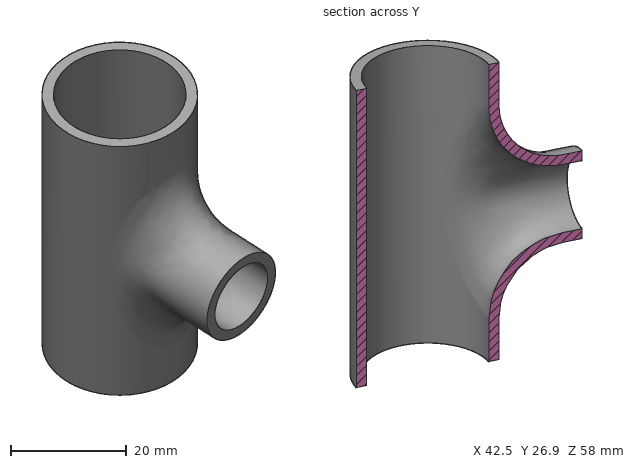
import cadquery as cq

run_outer_diameter = 26.9
run_length = 58.0
branch_outer_diameter = 17.2
branch_reach = 29.0
wall = 2.0
blend_radius = 12.0

run_outer_radius = run_outer_diameter / 2
branch_outer_radius = branch_outer_diameter / 2
run_bore_radius = run_outer_radius - wall
branch_bore_radius = branch_outer_radius - wall
bore_blend_radius = blend_radius + wall


def blended_tee(run_radius, branch_radius, junction_radius):
    """Solid run along Z with a branch along +X, rounded where the two meet."""
    run = cq.Workplane("XY", origin=(0, 0, -run_length / 2)).circle(run_radius).extrude(run_length)
    run = run.rotate((0, 0, 0), (0, 0, 1), 180)

    branch = cq.Workplane("YZ").circle(branch_radius).extrude(branch_reach)
    branch = branch.rotate((0, 0, 0), (1, 0, 0), 90)

    tee = run.union(branch)
    junction = cq.selectors.BoxSelector(
        (0, -branch_radius / 2, -branch_radius / 2),
        (run_radius, branch_radius / 2, branch_radius / 2),
    )
    return tee.edges(junction).fillet(junction_radius)


outer_body = blended_tee(run_outer_radius, branch_outer_radius, blend_radius)
bore = blended_tee(run_bore_radius, branch_bore_radius, bore_blend_radius)

result = outer_body.cut(bore)